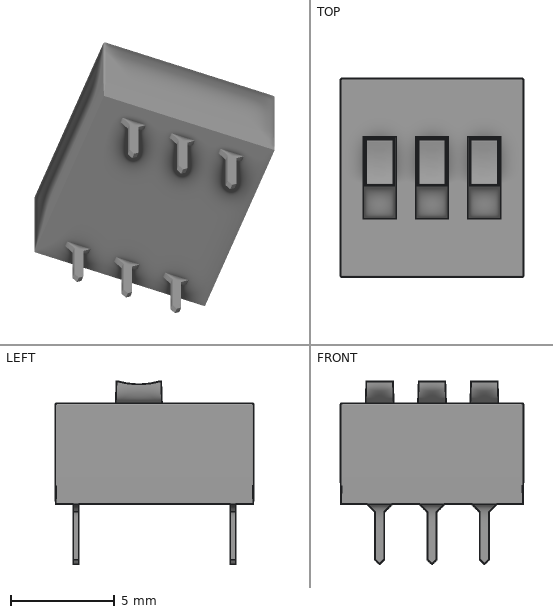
import cadquery as cq
import math


body_length_x = 8.89
body_width_y = 9.65
body_height = 4.90
edge_radius = 0.10
skirt_height = 1.30
skirt_draft = 1.0

position_count = 3
position_pitch = 2.54
position_xs = [(i - (position_count - 1) / 2) * position_pitch for i in range(position_count)]

slot_length_x = 1.60
slot_width_y = 4.00
slot_depth = 0.80
slot_floor_z = body_height - slot_depth

actuator_length_x = 1.43
actuator_width_y = 2.31
actuator_offset_y = 0.76
actuator_rise = 1.06
actuator_height = slot_depth + actuator_rise
actuator_draft = 2.0
actuator_lip = 0.08
dish_depth = 0.14

pin_row_spacing = 7.62
pin_length = 2.92
pin_width = 0.46
pin_thickness = 0.27
shoulder_width = 1.22
shoulder_height = (shoulder_width - pin_width) / 2
point_height = pin_width / 2


def make_housing():
    block = (
        cq.Workplane("XY")
        .box(body_length_x, body_width_y, body_height, centered=(True, True, False))
        .edges("|Z or >Z")
        .fillet(edge_radius)
    )
    upper_envelope = (
        cq.Workplane("XY", origin=(0, 0, skirt_height))
        .rect(body_length_x, body_width_y)
        .extrude(body_height - skirt_height)
    )
    skirt_envelope = (
        cq.Workplane("XY", origin=(0, 0, skirt_height))
        .rect(body_length_x, body_width_y)
        .extrude(-skirt_height, taper=skirt_draft)
    )
    return block.intersect(upper_envelope.union(skirt_envelope))


def make_slot(x):
    return (
        cq.Workplane("XY", origin=(x, 0, slot_floor_z))
        .rect(slot_length_x, slot_width_y)
        .extrude(slot_depth)
    )


def make_actuator(x):
    post = (
        cq.Workplane("XY", origin=(x, actuator_offset_y, slot_floor_z))
        .rect(actuator_length_x, actuator_width_y)
        .extrude(actuator_height, taper=actuator_draft)
    )
    top_width_y = actuator_width_y - 2 * actuator_height * math.tan(math.radians(actuator_draft))
    half_chord = top_width_y / 2 - actuator_lip
    dish_radius = (half_chord**2 + dish_depth**2) / (2 * dish_depth)
    dish_axis_z = slot_floor_z + actuator_height - dish_depth + dish_radius
    dish = (
        cq.Workplane("YZ", origin=(x, actuator_offset_y, dish_axis_z))
        .circle(dish_radius)
        .extrude(actuator_length_x / 2, both=True)
    )
    return post.cut(dish)


def make_pin(x, y):
    half_shoulder = shoulder_width / 2
    half_pin = pin_width / 2
    point_top_z = point_height - pin_length
    return (
        cq.Workplane("XZ", origin=(x, y, 0))
        .moveTo(-half_shoulder, 0)
        .lineTo(half_shoulder, 0)
        .lineTo(half_pin, -shoulder_height)
        .lineTo(half_pin, point_top_z)
        .lineTo(0, -pin_length)
        .lineTo(-half_pin, point_top_z)
        .lineTo(-half_pin, -shoulder_height)
        .close()
        .extrude(pin_thickness / 2, both=True)
    )


result = make_housing()
for position_x in position_xs:
    result = result.cut(make_slot(position_x))
    result = result.union(make_actuator(position_x))
    for row_side in (-1, 1):
        result = result.union(make_pin(position_x, row_side * pin_row_spacing / 2))